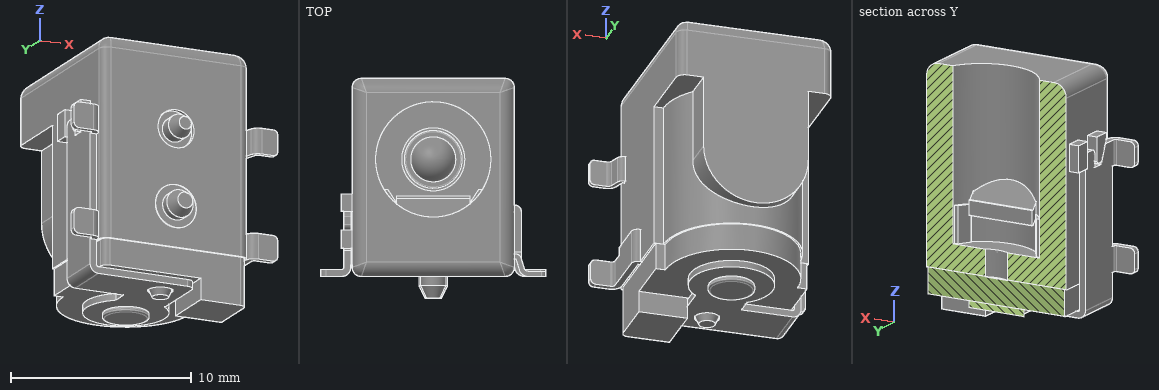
import cadquery as cq
import math


top_z = 14.7
half_width = 4.5
front_y = -6.5
back_y = half_width
housing_bottom = 2.81
corner_radius = 0.5
top_radius = 0.8
head_bottom = 11.15
barrel_radius = 3.95
rib_half_width = 3.05
rib_arc_z = 6.94
bore_diameter = 6.4
bore_floor = 4.41
floor_hole_diameter = 3.5

peg_straight = 0.5
peg_length = 1.2
pegs = [
    (9.7, 1.4, 0.74, 2.2, 0.3),
    (5.2, 1.6, 0.91, 2.5, 0.05),
]

guide_top = 6.62
guide_root = (2.07, -2.35)
guide_tip = (2.51, -1.68)
guide_width = 0.59
guide_depth = 0.44

stop_height = 0.6
stop_bottom = 9.58
square_stop_y = (-2.88, -1.91)
hook_stop_y = (-4.94, -3.91)
hook_bevel_z = 10.76
hook_tip_y = -4.45
hook_chamfer = 0.15

base_inset = 0.1
base_bottom = 1.25
foot_left = 1.57
foot_back = -3.1
stud_y = -4.47
stud_diameter = 1.4
stud_tip_diameter = 0.93
stud_cone_z = 1.0
stud_tip_z = 0.49

pin_diameter = 2.5
pin_tip_z = 13.38
collar_diameter = 3.2
collar_edge_radius = 0.07
collar_top = bore_floor
shank_diameter = 2.0
rivet_hole_diameter = 1.55
rivet_diameter = 2.6
rivet_bottom = 0.53
rivet_edge_radius = 0.1

sheet = 0.4
bend_inner = 0.1
bend_outer = bend_inner + sheet
leg_reach = 6.25
leg_width = 1.5
lower_leg_z = housing_bottom
upper_leg_z = 8.95
leg_corner = 0.3

strip_outer_x = -4.97
strip_front = -5.87
strip_back = square_stop_y[0]
strip_top = upper_leg_z + leg_width
ring_radius = 2.4
neck_half_width = 1.5
neck_corner = 0.5
notch_bottom = 9.38
notch_bottom_front = -4.57
notch_kink = (-4.79, 10.13)
notch_top_front = -5.04
tab_radius = 0.3

side_back = -2.53
side_step_y = -5.15
side_top = 4.78
side_leg_bend = 0.18
side_edge_radius = 0.38
side_depth = 1.18

spring_sheet = 0.3
spring_leg_corner = 0.25
spring_lean = math.radians(17)
rail_back = -5.23
lean_top_x = 4.8
shoulder_radius = 0.38
heel_radius = 0.51
spring_half_width = 2.03
tongue_tip_y = -2.05
tongue_edge_y = -2.16
tongue_drop = 3.53
tongue_tip_height = 0.88


def box(x, y, z):
    """Box between the two given limits along each axis."""
    return cq.Workplane("XY").box(
        x[1] - x[0], y[1] - y[0], z[1] - z[0], centered=False
    ).translate((x[0], y[0], z[0]))


def cylinder(diameter, bottom, top):
    """Upright cylinder on the bore axis."""
    return cq.Workplane("XY").workplane(offset=bottom).circle(diameter / 2).extrude(top - bottom)


def barrel_block(inset, bottom, top):
    """Block with a flat front and a narrower half-round back."""
    half, radius, front = half_width - inset, barrel_radius - inset, front_y + inset
    block = box((-half, half), (front, 0), (bottom, top)).edges("|Z and <Y").fillet(corner_radius - inset)
    return block.union(cylinder(2 * radius, bottom, top))


def make_peg(z, diameter, tip_diameter, recess_depth):
    """Straight peg with a conical end, pointing to -Y from the floor of its recess."""
    foot, shoulder, tip = front_y + recess_depth, front_y - peg_straight, front_y - peg_length
    return (
        cq.Workplane("XY")
        .polyline([
            (0, foot),
            (diameter / 2, foot),
            (diameter / 2, shoulder),
            (tip_diameter / 2, tip),
            (0, tip),
        ])
        .close()
        .revolve(360, (0, 0), (0, 1))
        .translate((0, 0, z))
    )


def make_stops():
    """Square stop and hooked stop on the -X wall."""
    square = box((-half_width - stop_height, -half_width), square_stop_y, (stop_bottom, head_bottom))
    hook_front, hook_back = hook_stop_y
    hook = (
        cq.Workplane("YZ")
        .polyline([
            (hook_back, head_bottom),
            (hook_front, head_bottom),
            (hook_front, hook_bevel_z),
            (hook_tip_y, stop_bottom),
            (hook_back - hook_chamfer, stop_bottom),
            (hook_back, stop_bottom + hook_chamfer),
        ])
        .close()
        .extrude(-stop_height)
        .translate((-half_width, 0, 0))
    )
    return square.union(hook)


def make_guide_ribs():
    """Two slanted ribs standing on the bore floor against the bore wall."""
    (x0, y0), (x1, y1) = guide_root, guide_tip
    rib = (
        cq.Workplane("XY")
        .workplane(offset=bore_floor)
        .polyline([
            (x0, y0),
            (x1, y1),
            (x1 + guide_width, y1),
            (x0 + guide_width, y0 - guide_depth),
            (x0, y0 - guide_depth),
        ])
        .close()
        .extrude(guide_top - bore_floor)
    )
    return rib.union(rib.mirror("YZ"))


def make_housing():
    head = box((-half_width, half_width), (front_y, back_y), (head_bottom, top_z))
    head = head.edges(">Z").fillet(top_radius)
    head = head.edges("|Z").fillet(corner_radius)
    body = head.union(barrel_block(0, housing_bottom, head_bottom))

    rib = (
        cq.Workplane("XZ")
        .moveTo(-rib_half_width, head_bottom)
        .lineTo(-rib_half_width, rib_arc_z)
        .threePointArc((0, rib_arc_z - rib_half_width), (rib_half_width, rib_arc_z))
        .lineTo(rib_half_width, head_bottom)
        .close()
        .extrude(-back_y)
    )
    body = body.union(rib)
    body = body.cut(cylinder(bore_diameter, bore_floor, top_z))
    body = body.cut(cylinder(floor_hole_diameter, housing_bottom, bore_floor))

    for z, diameter, tip_diameter, recess_diameter, recess_depth in pegs:
        recess = (
            cq.Workplane("XZ", origin=(0, front_y, z)).circle(recess_diameter / 2).extrude(-recess_depth)
        )
        body = body.cut(recess).union(make_peg(z, diameter, tip_diameter, recess_depth))
    return body.union(make_stops()).union(make_guide_ribs())


def make_base():
    plate = barrel_block(base_inset, base_bottom, housing_bottom)
    foot = barrel_block(base_inset, 0, base_bottom).intersect(
        box((foot_left, half_width), (front_y, foot_back), (0, base_bottom))
    )
    stud = (
        cq.Workplane("XZ")
        .polyline([
            (0, base_bottom),
            (stud_diameter / 2, base_bottom),
            (stud_diameter / 2, stud_cone_z),
            (stud_tip_diameter / 2, stud_tip_z),
            (0, stud_tip_z),
        ])
        .close()
        .revolve(360, (0, 0), (0, 1))
        .translate((0, stud_y, 0))
    )
    return plate.cut(cylinder(shank_diameter, base_bottom, housing_bottom)).union(foot).union(stud)


def make_pin():
    radius = pin_diameter / 2
    pin = cylinder(pin_diameter, collar_top, pin_tip_z - radius)
    pin = pin.union(cq.Workplane("XY").sphere(radius).translate((0, 0, pin_tip_z - radius)))
    collar = cylinder(collar_diameter, housing_bottom, collar_top)
    collar = collar.faces(">Z").edges().fillet(collar_edge_radius)
    shank = cylinder(shank_diameter, base_bottom, housing_bottom)
    neck = cylinder(rivet_hole_diameter, base_bottom - sheet, base_bottom)
    rivet = cylinder(rivet_diameter, rivet_bottom, base_bottom - sheet)
    rivet = rivet.edges().fillet(rivet_edge_radius)
    return pin.union(collar).union(shank).union(neck).union(rivet)


def make_leg(inner_x, bend, z, corner):
    """Leg on the +X side: runs down to -Y from strip_front, then bends out to +X."""
    outer = bend + sheet
    return (
        cq.Workplane("XY")
        .workplane(offset=z)
        .moveTo(inner_x, strip_front)
        .lineTo(inner_x, front_y + outer)
        .radiusArc((inner_x + outer, front_y), -outer)
        .lineTo(leg_reach, front_y)
        .lineTo(leg_reach, front_y + sheet)
        .lineTo(inner_x + outer, front_y + sheet)
        .radiusArc((inner_x + sheet, front_y + outer), bend)
        .lineTo(inner_x + sheet, strip_front)
        .close()
        .extrude(leg_width)
        .edges("|Y and >X")
        .fillet(corner)
    )


def make_rivet_terminal():
    plate_bottom = base_bottom - sheet
    strip_inner_x = strip_outer_x + sheet
    bent = (
        cq.Workplane("XZ")
        .moveTo(strip_outer_x, strip_top)
        .lineTo(strip_outer_x, plate_bottom + bend_outer)
        .radiusArc((strip_outer_x + bend_outer, plate_bottom), -bend_outer)
        .lineTo(neck_half_width, plate_bottom)
        .lineTo(neck_half_width, base_bottom)
        .lineTo(strip_outer_x + bend_outer, base_bottom)
        .radiusArc((strip_inner_x, plate_bottom + bend_outer), bend_inner)
        .lineTo(strip_inner_x, strip_top)
        .close()
        .extrude(strip_back - strip_front)
        .translate((0, strip_back, 0))
        .edges("|Z and >X and <Y")
        .fillet(neck_corner)
    )
    hook_back = hook_stop_y[1]
    notch = (
        cq.Workplane("YZ")
        .polyline([
            (hook_back, strip_top),
            (hook_back, notch_bottom),
            (notch_bottom_front, notch_bottom),
            notch_kink,
            (notch_top_front, strip_top),
        ])
        .close()
        .extrude(2 * strip_outer_x)
    )
    bent = bent.cut(notch)
    for y in (strip_back, hook_back):
        corner = (strip_outer_x + sheet / 2, y, strip_top)
        bent = bent.edges(cq.NearestToPointSelector(corner)).fillet(tab_radius)

    neck = box((-neck_half_width, neck_half_width), (strip_back, 0), (plate_bottom, base_bottom))
    ring = cylinder(2 * ring_radius, plate_bottom, base_bottom)
    terminal = bent.union(neck).union(ring)
    for z in (lower_leg_z, upper_leg_z):
        terminal = terminal.union(make_leg(-strip_inner_x, bend_inner, z, leg_corner).mirror("YZ"))

    stud_hole = cylinder(stud_diameter, plate_bottom, base_bottom).translate((0, stud_y, 0))
    return terminal.cut(cylinder(rivet_hole_diameter, plate_bottom, base_bottom)).cut(stud_hole)


def make_side_terminal():
    outer_x = half_width + sheet
    wall = box((half_width, outer_x), (side_step_y, side_back), (housing_bottom, side_top))
    flange = box(
        (half_width - side_depth, outer_x), (side_back - sheet, side_back), (housing_bottom, side_top)
    )
    bent = wall.union(flange).edges("|Z and >X and >Y").fillet(side_edge_radius)
    link = box((half_width, outer_x), (strip_front, side_step_y), (lower_leg_z, lower_leg_z + leg_width))
    return bent.union(link).union(make_leg(half_width, side_leg_bend, lower_leg_z, leg_corner))


def make_spring_contact():
    leg_top = upper_leg_z + leg_width
    rail_front = rail_back - spring_sheet
    foot_top = front_y + spring_sheet
    lean = math.tan(spring_lean)
    outer_foot_x = lean_top_x + (rail_back - foot_top) * lean
    inner_top_x = lean_top_x - spring_sheet / math.cos(spring_lean) + spring_sheet * lean
    heel_x = inner_top_x + (rail_front - front_y) * lean
    leg = (
        cq.Workplane("XY")
        .workplane(offset=upper_leg_z)
        .polyline([
            (-spring_half_width, rail_back),
            (lean_top_x, rail_back),
            (outer_foot_x, foot_top),
            (leg_reach, foot_top),
            (leg_reach, front_y),
            (heel_x, front_y),
            (inner_top_x, rail_front),
            (-spring_half_width, rail_front),
        ])
        .close()
        .extrude(leg_width)
    )
    leg = leg.edges("|Y and >X").fillet(spring_leg_corner)
    leg_middle = upper_leg_z + leg_width / 2
    for x, y, radius in (
        (lean_top_x, rail_back, shoulder_radius),
        (heel_x, front_y, heel_radius),
        (outer_foot_x, foot_top, heel_radius - spring_sheet),
    ):
        leg = leg.edges(cq.NearestToPointSelector((x, y, leg_middle))).fillet(radius)
    tongue = (
        cq.Workplane("YZ")
        .polyline([
            (rail_back, leg_top),
            (tongue_edge_y, leg_top - tongue_drop),
            (tongue_tip_y, leg_top - tongue_drop),
            (tongue_tip_y, leg_top - tongue_drop - tongue_tip_height),
            (tongue_edge_y, leg_top - tongue_drop - tongue_tip_height),
            (rail_back, leg_top - tongue_tip_height),
        ])
        .close()
        .extrude(spring_half_width, both=True)
    )
    return leg.union(tongue)


base = make_base()
pin = make_pin()
rivet_terminal = make_rivet_terminal()
side_terminal = make_side_terminal()
spring_contact = make_spring_contact()
housing = make_housing().cut(side_terminal).cut(spring_contact)

result = cq.Compound.makeCompound([
    housing.val(),
    base.val(),
    pin.val(),
    rivet_terminal.val(),
    side_terminal.val(),
    spring_contact.val(),
])